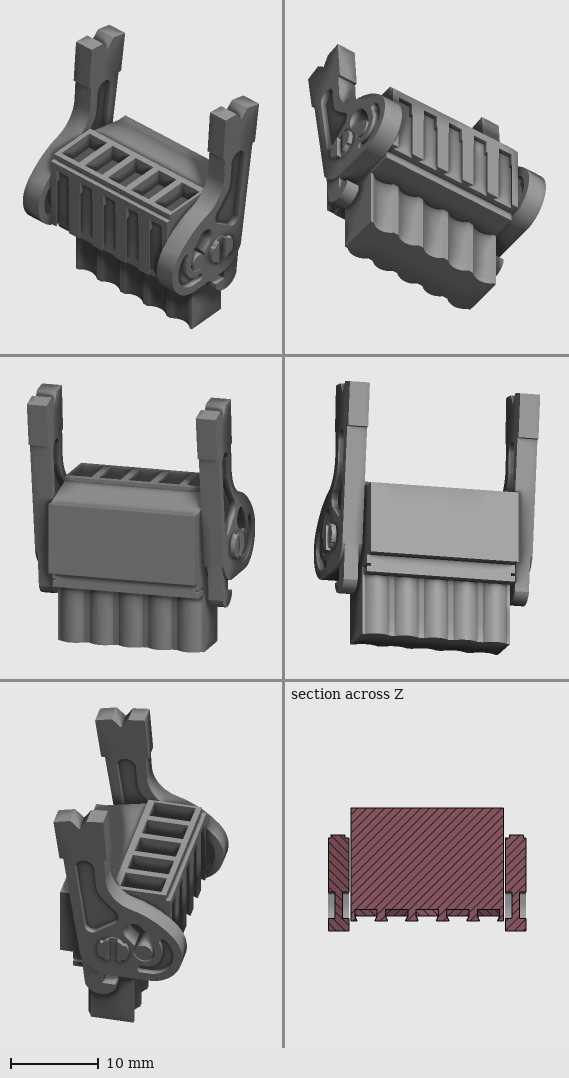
import cadquery as cq
import math


POLE_COUNT = 5
POLE_PITCH = 3.5
HOUSING_LENGTH = 17.53
HOUSING_END = HOUSING_LENGTH / 2
pole_positions = [(i - (POLE_COUNT - 1) / 2) * POLE_PITCH for i in range(POLE_COUNT)]

FRONT_Y = -6.02
REAR_Y = 6.95
TOP_Z = 18.7
UPPER_BASE_Z = 7.85
FRONT_RIM_Y = FRONT_Y + 0.53
FRONT_RIM_Z = TOP_Z - 0.75
FRONT_LIP_Y = -4.75
FRONT_LIP_Z = 8.93
REAR_WALL_Y = 5.43
REAR_BASE_Z = 8.85
REAR_TOP_Z = 17.02
SLOPE_START_Y = 5.78
SLOPE_END_Y = 0.8
SLOPE_END_Z = 18.15

PLUG_FRONT_Y = -1.7
PLUG_REAR_Y = 3.38
FLUTE_WIDTH = 2.85
FLUTE_SAG = FLUTE_WIDTH / 2 * math.tan(math.radians(22.5))

LATCH_BASE_Z = 6.88
LATCH_TOP_Z = 7.53
LATCH_FRONT_Y = 3.9
NECK_FRONT_Y = 4.0
NECK_INSET = 0.45

POCKET_WIDTH = 2.67
POCKET_FRONT_Y = -4.83
POCKET_REAR_Y = 0.03
POCKET_DEPTH = 2.05
POCKET_OFFSET_X = 0.12

WINDOW_WIDTH = 1.8
WINDOW_TOP_Z = 17.0
WINDOW_DEPTH = 0.55
INSERT_TOP_Z = 15.4
SLOT_MOUTH_WIDTH = 1.95
INSERT_WIDTH = 2.5
INSERT_FRONT_Y = FRONT_Y + WINDOW_DEPTH

PIVOT_Z = 12.07
PIVOT_RADIUS = 1.55
PIVOT_SHOULDER_X = 11.42
PIVOT_END_X = 11.95
BARB_RADIUS = 1.85
BARB_HEIGHT = 2.02
PIVOT_SLOT_WIDTH = 1.05
GUIDE_ORBIT = 3.5
GUIDE_RADIUS = 1.0
GUIDE_END_X = PIVOT_SHOULDER_X

LEVER_INNER_X = 8.93
LEVER_THICKNESS = 2.37
LEVER_OUTER_X = LEVER_INNER_X + LEVER_THICKNESS
HOOK_INNER_X = 9.35
HOOK_OUTER_X = 11.0
LOBE_RADIUS = 3.9
LOBE_Y = -4.12
LEVER_BASE_Z = PIVOT_Z - LOBE_RADIUS
LOBE_SHOULDER_ANGLE = 38.3
LOBE_FLAT = 0.3
HEEL_CORNER = (3.95, 10.4)
RECESS_DEPTH = 0.75
GUIDE_SLOT_RADIUS = 1.25
GUIDE_SLOT_SWEEP = 48.0
CRESCENT_RADIUS = 2.88
CRESCENT_INNER_RADIUS = 1.93
CRESCENT_INNER_Y = -3.68


def end_plane(x):
    """Workplane with local axes Y and Z, facing +X, at the given X."""
    return cq.Workplane("YZ", origin=(x, 0, 0))


def orbit_point(radius, degrees, center_y=0.0):
    """Point at an angle above the forward direction on a circle at pivot height."""
    angle = math.radians(degrees)
    return (center_y - radius * math.cos(angle), PIVOT_Z + radius * math.sin(angle))


def box_between(x_range, y_range, z_range):
    """Box given by its limits along each axis."""
    (x0, x1), (y0, y1), (z0, z1) = x_range, y_range, z_range
    return cq.Workplane("XY").box(x1 - x0, y1 - y0, z1 - z0, centered=False).translate((x0, y0, z0))


def upper_section():
    return (
        end_plane(-HOUSING_END)
        .polyline([
            (FRONT_LIP_Y, UPPER_BASE_Z),
            (FRONT_LIP_Y, FRONT_LIP_Z),
            (FRONT_Y, FRONT_LIP_Z),
            (FRONT_Y, FRONT_RIM_Z),
            (FRONT_RIM_Y, FRONT_RIM_Z),
            (FRONT_RIM_Y, TOP_Z),
            (SLOPE_END_Y, TOP_Z),
            (SLOPE_END_Y, SLOPE_END_Z),
            (SLOPE_START_Y, REAR_TOP_Z),
            (REAR_Y, REAR_TOP_Z),
            (REAR_Y, REAR_BASE_Z),
            (REAR_WALL_Y, REAR_BASE_Z),
            (REAR_WALL_Y, UPPER_BASE_Z),
        ])
        .close()
        .extrude(HOUSING_LENGTH)
    )


def plug_section():
    """Block with one concave flute in front of each pole and one convex lobe behind it."""
    half_width = FLUTE_WIDTH / 2
    outline = cq.Workplane("XY").moveTo(-HOUSING_END, PLUG_FRONT_Y)
    for x in pole_positions:
        outline = outline.lineTo(x - half_width, PLUG_FRONT_Y)
        outline = outline.threePointArc((x, PLUG_FRONT_Y + FLUTE_SAG), (x + half_width, PLUG_FRONT_Y))
    outline = outline.lineTo(HOUSING_END, PLUG_FRONT_Y).lineTo(HOUSING_END, PLUG_REAR_Y)
    for x in reversed(pole_positions):
        outline = outline.lineTo(x + half_width, PLUG_REAR_Y)
        outline = outline.threePointArc((x, PLUG_REAR_Y + FLUTE_SAG), (x - half_width, PLUG_REAR_Y))
    return outline.lineTo(-HOUSING_END, PLUG_REAR_Y).close().extrude(UPPER_BASE_Z)


def latch_bar():
    """Bar hanging below the rear wall on a slightly shorter neck."""
    neck_end = HOUSING_END - NECK_INSET
    neck = box_between((-neck_end, neck_end), (NECK_FRONT_Y, REAR_WALL_Y), (LATCH_TOP_Z, UPPER_BASE_Z))
    bar = box_between(
        (-HOUSING_END, HOUSING_END), (LATCH_FRONT_Y, REAR_WALL_Y), (LATCH_BASE_Z, LATCH_TOP_Z)
    )
    return neck.union(bar)


def wire_pocket(x):
    left = x + POCKET_OFFSET_X - POCKET_WIDTH / 2
    return box_between(
        (left, left + POCKET_WIDTH), (POCKET_FRONT_Y, POCKET_REAR_Y), (TOP_Z - POCKET_DEPTH, TOP_Z)
    )


def front_window(x):
    """Shallow window above an insert."""
    half_width = WINDOW_WIDTH / 2
    return box_between(
        (x - half_width, x + half_width), (FRONT_Y, INSERT_FRONT_Y), (INSERT_TOP_Z, WINDOW_TOP_Z)
    )


def slot_mouth(x):
    """Slot in front of an insert, widening inward from the front face."""
    return (
        cq.Workplane("XY", origin=(x, 0, FRONT_LIP_Z))
        .polyline([
            (-SLOT_MOUTH_WIDTH / 2, FRONT_Y),
            (SLOT_MOUTH_WIDTH / 2, FRONT_Y),
            (INSERT_WIDTH / 2, INSERT_FRONT_Y),
            (-INSERT_WIDTH / 2, INSERT_FRONT_Y),
        ])
        .close()
        .extrude(INSERT_TOP_Z - FRONT_LIP_Z)
    )


def make_insert(x):
    """Contact insert that closes the lower part of a front slot."""
    half_width = INSERT_WIDTH / 2
    return box_between(
        (x - half_width, x + half_width), (INSERT_FRONT_Y, FRONT_LIP_Y), (FRONT_LIP_Z, INSERT_TOP_Z)
    )


def pivot_pin():
    """Pivot pin with a slotted, barbed head, on the +X end of the housing."""
    shank = (
        end_plane(HOUSING_END)
        .center(0, PIVOT_Z)
        .circle(PIVOT_RADIUS)
        .extrude(PIVOT_END_X - HOUSING_END)
    )
    head_length = PIVOT_END_X - PIVOT_SHOULDER_X
    head_plane = end_plane(PIVOT_SHOULDER_X).center(0, PIVOT_Z)
    barbs = head_plane.circle(BARB_RADIUS).extrude(head_length).intersect(
        head_plane.rect(2 * BARB_RADIUS, BARB_HEIGHT).extrude(head_length)
    )
    slot = head_plane.rect(PIVOT_SLOT_WIDTH, 2 * BARB_RADIUS).extrude(head_length)
    return shank.union(barbs).cut(slot)


def guide_pin():
    return (
        end_plane(HOUSING_END)
        .center(-GUIDE_ORBIT, PIVOT_Z)
        .circle(GUIDE_RADIUS)
        .extrude(GUIDE_END_X - HOUSING_END)
    )


def make_housing():
    housing = upper_section().union(plug_section()).union(latch_bar())
    for pin in (pivot_pin(), guide_pin()):
        housing = housing.union(pin).union(pin.mirror("YZ"))
    for x in pole_positions:
        housing = housing.cut(wire_pocket(x)).cut(front_window(x)).cut(slot_mouth(x)).cut(make_insert(x))
    return housing


def lever_plate():
    """Handle with a notched top, running down into a round lobe around the guide pin."""
    shoulder = orbit_point(LOBE_RADIUS, LOBE_SHOULDER_ANGLE, LOBE_Y)
    shoulder_angle = math.radians(LOBE_SHOULDER_ANGLE)
    flat_top = (
        shoulder[0] + LOBE_FLAT * math.sin(shoulder_angle),
        shoulder[1] + LOBE_FLAT * math.cos(shoulder_angle),
    )
    return (
        end_plane(LEVER_INNER_X)
        .moveTo(*HEEL_CORNER)
        .lineTo(5.95, 23.7)
        .lineTo(6.4, 23.7)
        .lineTo(7.12, 28.7)
        .lineTo(5.13, 29.22)
        .lineTo(4.03, 28.2)
        .lineTo(3.23, 29.42)
        .lineTo(1.28, 29.65)
        .lineTo(0.85, 24.3)
        .lineTo(1.2, 24.3)
        .lineTo(1.0, 21.45)
        .threePointArc((0.15, 19.28), (-1.72, 17.95))
        .threePointArc((-4.55, 16.75), flat_top)
        .lineTo(*shoulder)
        .threePointArc((LOBE_Y - LOBE_RADIUS, PIVOT_Z), (LOBE_Y, LEVER_BASE_Z))
        .lineTo(1.2, LEVER_BASE_Z)
        .threePointArc((2.75, 8.9), HEEL_CORNER)
        .close()
        .extrude(LEVER_THICKNESS)
    )


def lever_hook():
    """Thinner latching hook under the heel of the lever."""
    return (
        end_plane(HOOK_INNER_X)
        .moveTo(*HEEL_CORNER)
        .lineTo(3.47, 6.3)
        .threePointArc((1.87, 5.13), (-0.1, 6.1))
        .lineTo(-0.1, 6.7)
        .lineTo(1.42, 6.7)
        .lineTo(1.42, HEEL_CORNER[1])
        .close()
        .extrude(HOOK_OUTER_X - HOOK_INNER_X)
    )


def handle_recess(x):
    """Recess that lightens the handle."""
    return (
        end_plane(x)
        .moveTo(3.45, 14.6)
        .lineTo(4.6, 22.87)
        .threePointArc((3.47, 23.88), (2.35, 23.08))
        .lineTo(2.15, 20.47)
        .threePointArc((1.9, 19.65), (1.5, 19.0))
        .lineTo(0.15, 17.6)
        .threePointArc((-0.5, 16.65), (-0.18, 15.63))
        .lineTo(2.15, 14.03)
        .threePointArc((2.97, 13.95), (3.45, 14.6))
        .close()
        .extrude(RECESS_DEPTH)
    )


def crescent_recess(x):
    """Curved recess around the front of the lobe."""
    return (
        end_plane(x)
        .moveTo(CRESCENT_INNER_Y, PIVOT_Z - CRESCENT_INNER_RADIUS)
        .lineTo(-3.03, PIVOT_Z - CRESCENT_INNER_RADIUS)
        .threePointArc((-2.73, 9.67), (-3.03, PIVOT_Z - CRESCENT_RADIUS))
        .lineTo(LOBE_Y, PIVOT_Z - CRESCENT_RADIUS)
        .threePointArc((LOBE_Y - CRESCENT_RADIUS, PIVOT_Z), (-6.0, 14.2))
        .threePointArc((-5.6, 14.27), (-5.28, 13.8))
        .threePointArc((-5.55, 12.93), (CRESCENT_INNER_Y - CRESCENT_INNER_RADIUS, PIVOT_Z))
        .threePointArc(
            orbit_point(CRESCENT_INNER_RADIUS, -45, CRESCENT_INNER_Y),
            (CRESCENT_INNER_Y, PIVOT_Z - CRESCENT_INNER_RADIUS),
        )
        .close()
        .extrude(RECESS_DEPTH)
    )


def guide_slot():
    """Through slot for the guide pin, curved about the pivot, with a detent above the pin."""
    outer = GUIDE_ORBIT + GUIDE_SLOT_RADIUS
    inner = GUIDE_ORBIT - GUIDE_SLOT_RADIUS
    cap_point = orbit_point(GUIDE_ORBIT, GUIDE_SLOT_SWEEP)
    cap_angle = math.radians(GUIDE_SLOT_SWEEP)
    cap_top = (
        cap_point[0] + GUIDE_SLOT_RADIUS * math.sin(cap_angle),
        cap_point[1] + GUIDE_SLOT_RADIUS * math.cos(cap_angle),
    )
    detent_top = (-2.25, 13.0)
    detent_tip = (-2.43, 12.72)
    detent_base = (-2.35, 12.5)
    return (
        end_plane(LEVER_INNER_X)
        .moveTo(-outer, PIVOT_Z)
        .threePointArc(orbit_point(outer, GUIDE_SLOT_SWEEP / 2), orbit_point(outer, GUIDE_SLOT_SWEEP))
        .threePointArc(cap_top, orbit_point(inner, GUIDE_SLOT_SWEEP))
        .lineTo(*detent_top)
        .threePointArc(detent_tip, detent_base)
        .lineTo(-inner, PIVOT_Z)
        .threePointArc((-GUIDE_ORBIT, PIVOT_Z - GUIDE_SLOT_RADIUS), (-outer, PIVOT_Z))
        .close()
        .extrude(LEVER_THICKNESS)
    )


def make_lever():
    """Lever on the +X end, recessed alike on both faces."""
    pivot_hole = end_plane(LEVER_INNER_X).center(0, PIVOT_Z).circle(PIVOT_RADIUS).extrude(LEVER_THICKNESS)
    lever = lever_plate().union(lever_hook()).cut(pivot_hole).cut(guide_slot())
    for face_x in (LEVER_INNER_X, LEVER_OUTER_X - RECESS_DEPTH):
        lever = lever.cut(handle_recess(face_x)).cut(crescent_recess(face_x))
    return lever


housing = make_housing()
inserts = [make_insert(x) for x in pole_positions]
right_lever = make_lever()
left_lever = right_lever.mirror("YZ")

result = cq.Compound.makeCompound([
    housing.val(),
    *[insert.val() for insert in inserts],
    right_lever.val(),
    left_lever.val(),
])